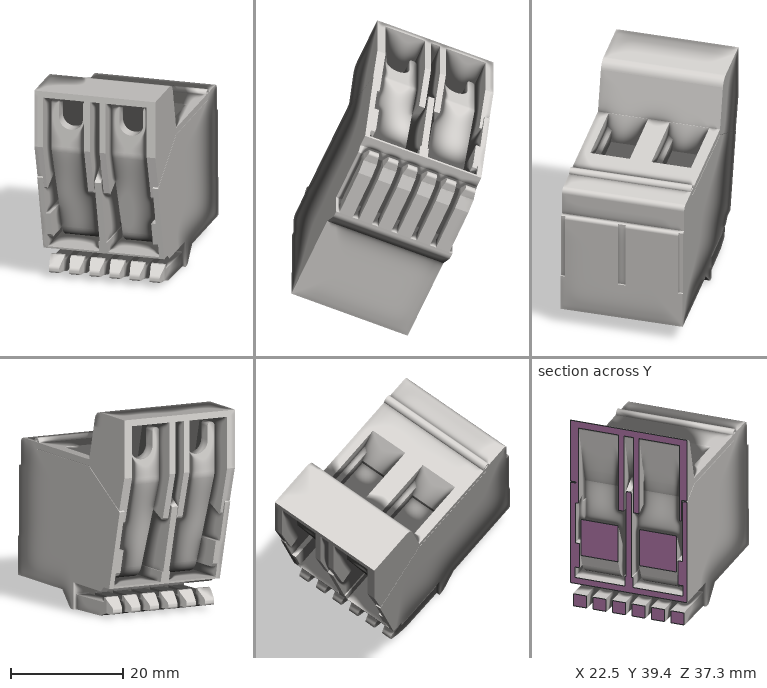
import cadquery as cq
import math


PICK_REACH = 0.05

WIDTH = 22.5
DEPTH = 39.4
HEIGHT = 37.3
HALF_WIDTH = WIDTH / 2

LEAN = math.tan(math.radians(15))
DECK_Z = 28.17
COVER_BACK_Y = 13
COVER_EDGE_R = 1.97
COVER_LEAN = math.tan(math.radians(17))
FACE_BEND_Z = 26.75
LIP_Z = 5.85
LIP_BACK_Y = 7.7
LEDGE_Y = 8.7
LEDGE_Z = 4.92
FOOT_FRONT_Y = 18.87
FOOT_BACK_Y = 20.0
FOOT_R = 1.38
BASE_Z = 3.05
BASE_FRONT_Y = 23.0
REAR_STEP_Y = 38.35
REAR_STEP_Z = 23.05
REAR_TOP_R = 0.9
REAR_STEP_R = 0.55

PART_Z = 26.95
PART_END_Y = 32.35
PART_SLOPE = math.tan(math.radians(30))
PART_GAP = 0.1
PART_GAP_DEPTH = 1.02

CUT_Y = -0.4
COVER_WALL = 1.2
CEILING_Z = HEIGHT - COVER_WALL
CEILING_R = 0.95
COVER_BAY_OUT = 9.65
COVER_BAY_IN = 2.0
SLOT_HALF = 0.85
BODY_BAY_OUT = 9.38
RIB_HALF = 0.6
RIB_TOP_HALF = 0.47
RIB_TOP_Z = 24.7
BAY_FLOOR_Z = 6.2
BAY_BACK_Z = 24.0
LAP_OUT = HALF_WIDTH - PART_GAP_DEPTH
LAP_BACK_Y = 11.82
LAP_BACK_Z = 20.5
LAP_GAP = 0.05
LAP_Z = 13.05
FLOOR_BAY_OUT = 10.32
FLOOR_BAY_IN = 0.83
FLOOR_BAY_Z = 8.15
FLOOR_BAY_FRONT_Z = 8.75
BACK_STEP_Z = 10.68
BACK_STEP = 1.2
STOP_Z = 9.38
STOP_WIDTH = 1.2
STOP_REACH = 0.8

TONGUE_TIP_Z = 18.05
TONGUE_FACE_Z = 18.35
TONGUE_SLOPE = math.tan(math.radians(23))

LEVER_IN = COVER_BAY_IN
LEVER_WIDTH = 7.2
LEVER_Y = 3.9
LEVER_TOP_Z = 34.7
LEVER_BEND_Z = 25.18
LEVER_BEND_R = 2.75
LEVER_LEAN = math.radians(21.5)
LEVER_THICK = 2.35
LEVER_END_R = 3.5
PRONG_WIDTH = 1.38
PRONG_TIP_R = 0.67
NOTCH_Z = 29.15

WINDOW_WIDTH = 7.3
WINDOW_THROAT = 5.65
WINDOW_X = 5.65
WINDOW_BACK_Y = 25.95
WINDOW_FLOOR_Y = 21.83
WINDOW_SLOPE_Z = 23.88
WINDOW_FLOOR_Z = 23.0
WINDOW_LEDGE = 0.08
THROAT_TOP_Z = 25.75
THROAT_Z = 25.1

HINGE_Y = 32.5
HINGE_R = 0.83
HINGE_HOLE_R = 0.5

GROOVE_DEPTH = 0.3
GROOVE_BOTTOM_Z = 10.15
GROOVE_EDGE = 0.83
GROOVE_MIDDLE = 1.4

FINGER_COUNT = 6
FINGER_PITCH = 3.75
FINGER_WIDTH = 2.55
FINGER_TIP_WIDTH = 1.85
FINGER_TIP_Y = 5.9
FINGER_TIP_BOTTOM_R = 0.5
FINGER_TIP_TOP_R = 0.75
FINGER_TIP_TOP_Z = 2.15
FINGER_TIP_BOTTOM_Z = 1.02
FINGER_TAPER_Y = 7.72
FINGER_BEND_Y = 10.1
FINGER_BEND_Z = 0.28
FINGER_TOP_Z = 2.9
FINGER_ROOT_Z = 2.68
FINGER_ROOT_CHAMFER = 0.2
HOOK_FRONT_Y = 8.2
HOOK_Z = 3.85

BAY_BACK_Y = COVER_BACK_Y - COVER_WALL + (DECK_Z - BAY_BACK_Z) * LEAN


def face_y(z, lean=LEAN):
    """Y of the leaning front face at height z."""
    return (FACE_BEND_Z - z) * lean


def part_z(y):
    """Height of the sloping parting line at depth y."""
    return PART_Z - (COVER_BACK_Y - y) * PART_SLOPE


def part_front(lean):
    """Point where the parting line meets a front face with this lean."""
    y = (FACE_BEND_Z - part_z(0)) * lean / (1 + PART_SLOPE * lean)
    return (y, part_z(y))


def cover_back_y(z, wall=0):
    """Y of the leaning back of the cover at height z, moved inward by wall."""
    return COVER_BACK_Y - (z - DECK_Z) * LEAN - wall / math.cos(math.atan(LEAN))


def prism(points, x0, x1):
    """Extrude a Y-Z outline from x0 to x1."""
    return cq.Workplane("YZ", origin=(x0, 0, 0)).polyline(points).close().extrude(x1 - x0)


JOINT_Y = (
    cover_back_y(PART_Z, COVER_WALL) + COVER_BACK_Y * PART_SLOPE * LEAN
) / (1 + PART_SLOPE * LEAN)
JOINT_Z = part_z(JOINT_Y)


def both_sides(solid):
    """The solid together with its mirror image across the middle plane."""
    return solid.union(solid.mirror("YZ"))


def round_edge(solid, y, z, radius):
    """Round the X-direction edge that passes through (y, z)."""
    box = cq.selectors.BoxSelector(
        (-WIDTH, y - PICK_REACH, z - PICK_REACH), (WIDTH, y + PICK_REACH, z + PICK_REACH)
    )
    return solid.edges("|X").edges(box).fillet(radius)


def make_block():
    """Solid block with the full side outline."""
    cover_top_y = cover_back_y(HEIGHT)
    outline = [
        (0, HEIGHT),
        (0, FACE_BEND_Z),
        part_front(COVER_LEAN),
        part_front(LEAN),
        (face_y(LIP_Z), LIP_Z),
        (LIP_BACK_Y, LIP_Z),
        (LEDGE_Y, LEDGE_Z),
        (FOOT_FRONT_Y, LEDGE_Z),
        (FOOT_FRONT_Y, 0),
        (FOOT_BACK_Y, 0),
        (BASE_FRONT_Y, BASE_Z),
        (DEPTH, BASE_Z),
        (DEPTH, REAR_STEP_Z),
        (REAR_STEP_Y, REAR_STEP_Z),
        (REAR_STEP_Y, DECK_Z),
        (COVER_BACK_Y, DECK_Z),
        (cover_top_y, HEIGHT),
    ]
    block = prism(outline, -HALF_WIDTH, HALF_WIDTH)
    block = round_edge(block, cover_top_y, HEIGHT, COVER_EDGE_R)
    block = round_edge(block, FOOT_BACK_Y, 0, FOOT_R)
    block = round_edge(block, REAR_STEP_Y, DECK_Z, REAR_TOP_R)
    return round_edge(block, DEPTH, REAR_STEP_Z, REAR_STEP_R)


def cover_cavity(x0, x1):
    """Hollow of the cover between x0 and x1, down to the parting line."""
    ceiling_y = cover_back_y(CEILING_Z, COVER_WALL)
    outline = [
        (CUT_Y, CEILING_Z),
        (ceiling_y, CEILING_Z),
        (JOINT_Y, JOINT_Z),
        (CUT_Y, part_z(CUT_Y)),
    ]
    cavity = prism(outline, x0, x1)
    return round_edge(cavity, ceiling_y, CEILING_Z, CEILING_R)


def body_cavity(x0, x1, floor_z):
    """Hollow of the body between x0 and x1, from floor_z up to the parting line."""
    outline = [
        (CUT_Y, floor_z),
        (BAY_BACK_Y, floor_z),
        (BAY_BACK_Y, BAY_BACK_Z),
        (JOINT_Y, JOINT_Z),
        (CUT_Y, part_z(CUT_Y)),
    ]
    return prism(outline, x0, x1)


def rib_side():
    """Sliver taken off one side of the rib where it is thinner."""
    outline = [
        (COVER_BACK_Y - (PART_Z - RIB_TOP_Z) / PART_SLOPE, RIB_TOP_Z),
        (cover_back_y(RIB_TOP_Z, COVER_WALL), RIB_TOP_Z),
        (JOINT_Y, JOINT_Z),
    ]
    return prism(outline, RIB_TOP_HALF, RIB_HALF)


def lap_recess():
    """Recess in the side wall of one bay that takes the cover tongue."""
    outline = [
        (CUT_Y, LAP_Z),
        (LAP_BACK_Y, LAP_Z),
        (LAP_BACK_Y, part_z(LAP_BACK_Y)),
        (CUT_Y, part_z(CUT_Y)),
    ]
    return prism(outline, BODY_BAY_OUT, LAP_OUT)


def floor_cavity():
    """Wider foot of one body bay; its ceiling rises toward the front."""
    rise = FLOOR_BAY_FRONT_Z - FLOOR_BAY_Z
    front_y = face_y(FLOOR_BAY_FRONT_Z)
    back_y = BAY_BACK_Y + BACK_STEP
    widened = [
        (CUT_Y, BAY_FLOOR_Z),
        (back_y, BAY_FLOOR_Z),
        (back_y, FLOOR_BAY_Z),
        (front_y + rise, FLOOR_BAY_Z),
        (front_y, FLOOR_BAY_FRONT_Z),
        (CUT_Y, FLOOR_BAY_FRONT_Z),
    ]
    outer = prism(widened, LEVER_IN, FLOOR_BAY_OUT)
    inner = cq.Workplane("XY").box(
        LEVER_IN - FLOOR_BAY_IN, back_y - CUT_Y, FLOOR_BAY_Z - BAY_FLOOR_Z, centered=False
    )
    inner = inner.translate((FLOOR_BAY_IN, CUT_Y, BAY_FLOOR_Z))
    return outer.union(inner)


def back_step():
    """Deeper stretch of one bay at the foot of its back wall."""
    outline = [
        (face_y(FLOOR_BAY_Z), FLOOR_BAY_Z),
        (BAY_BACK_Y + BACK_STEP, FLOOR_BAY_Z),
        (BAY_BACK_Y + BACK_STEP, BACK_STEP_Z),
        (face_y(BACK_STEP_Z), BACK_STEP_Z),
    ]
    return prism(outline, RIB_HALF, BODY_BAY_OUT)


def stop():
    """Small stop on the back wall beside the rib, with a sloping underside."""
    wall_y = BAY_BACK_Y + BACK_STEP
    outline = [
        (wall_y, FLOOR_BAY_Z),
        (wall_y, STOP_Z),
        (wall_y - STOP_REACH, STOP_Z),
    ]
    return prism(outline, RIB_HALF, RIB_HALF + STOP_WIDTH)


def tongue(x0, x1):
    """Cover wall carried on below the parting line, with a rising lower edge."""
    face_end_y = face_y(TONGUE_FACE_Z, COVER_LEAN)
    tip_y = face_end_y + TONGUE_FACE_Z - TONGUE_TIP_Z
    outline = [
        part_front(COVER_LEAN),
        (face_end_y, TONGUE_FACE_Z),
        (tip_y, TONGUE_TIP_Z),
        (LAP_BACK_Y, TONGUE_TIP_Z + (LAP_BACK_Y - tip_y) * TONGUE_SLOPE),
        (LAP_BACK_Y, part_z(LAP_BACK_Y)),
    ]
    return prism(outline, x0, x1)


def lever():
    """Lever on the +X side: upright plate with a notched top and a leaning tail."""
    run = math.tan(LEVER_LEAN)
    tail_y = LEVER_Y + (LEVER_BEND_Z - BAY_FLOOR_Z) * run
    back_y = LEVER_Y + LEVER_THICK
    tail_back_y = BAY_BACK_Y + BACK_STEP
    outline = [
        (LEVER_Y, LEVER_TOP_Z),
        (LEVER_Y, LEVER_BEND_Z),
        (tail_y, BAY_FLOOR_Z),
        (tail_back_y, BAY_FLOOR_Z),
        (tail_back_y, FLOOR_BAY_Z),
        (back_y, LEVER_BEND_Z),
        (back_y, LEVER_TOP_Z),
    ]
    plate = prism(outline, LEVER_IN, LEVER_IN + LEVER_WIDTH)
    plate = round_edge(plate, LEVER_Y, LEVER_BEND_Z, LEVER_BEND_R)
    plate = round_edge(plate, tail_y, BAY_FLOOR_Z, LEVER_END_R)
    notch_width = LEVER_WIDTH - 2 * PRONG_WIDTH
    notch_r = notch_width / 2
    middle_x = LEVER_IN + LEVER_WIDTH / 2
    notch = (
        cq.Workplane("XZ", origin=(middle_x, 0, NOTCH_Z + notch_r))
        .moveTo(-notch_r, 0)
        .threePointArc((0, -notch_r), (notch_r, 0))
        .lineTo(notch_r, LEVER_TOP_Z)
        .lineTo(-notch_r, LEVER_TOP_Z)
        .close()
        .extrude(-DEPTH)
    )
    plate = plate.cut(notch)
    return plate.edges("|Y and >Z").fillet(PRONG_TIP_R)


def window():
    """Wire window on the +X side: leaning ends and a narrower throat."""
    ends = [
        (COVER_BACK_Y + WINDOW_LEDGE, DECK_Z),
        (WINDOW_BACK_Y, DECK_Z),
        (WINDOW_FLOOR_Y, WINDOW_SLOPE_Z),
        (WINDOW_FLOOR_Y, WINDOW_FLOOR_Z),
        (cover_back_y(WINDOW_FLOOR_Z) + WINDOW_LEDGE, WINDOW_FLOOR_Z),
    ]
    long_cut = prism(ends, WINDOW_X - WINDOW_WIDTH / 2, WINDOW_X + WINDOW_WIDTH / 2)
    half = WINDOW_WIDTH / 2
    throat = WINDOW_THROAT / 2
    sides = [
        (-half, DECK_Z),
        (-half, THROAT_TOP_Z),
        (-throat, THROAT_Z),
        (-throat, WINDOW_FLOOR_Z),
        (throat, WINDOW_FLOOR_Z),
        (throat, THROAT_Z),
        (half, THROAT_TOP_Z),
        (half, DECK_Z),
    ]
    cross_cut = (
        cq.Workplane("XZ", origin=(WINDOW_X, 0, 0)).polyline(sides).close().extrude(-DEPTH)
    )
    return long_cut.intersect(cross_cut)


def parting_gap():
    """Narrow gap in the +X side between cover and body."""
    half = PART_GAP / 2
    outline = [
        (PART_END_Y, PART_Z + half),
        (COVER_BACK_Y, PART_Z + half),
        (0, part_z(0) + half),
        (0, part_z(0) - half),
        (COVER_BACK_Y, PART_Z - half),
        (PART_END_Y, PART_Z - half),
    ]
    return prism(outline, HALF_WIDTH - PART_GAP_DEPTH, HALF_WIDTH)


def hinge():
    """Half tube lying on the deck across the full width."""
    end_face = cq.Workplane("YZ", origin=(-HALF_WIDTH, HINGE_Y, DECK_Z))
    ring = end_face.circle(HINGE_R).circle(HINGE_HOLE_R).extrude(WIDTH)
    above = cq.Workplane("XY", origin=(0, HINGE_Y, DECK_Z)).box(
        WIDTH, 2 * HINGE_R, HINGE_R, centered=(True, True, False)
    )
    return ring.intersect(above)


def rear_groove(x, width):
    """Upright groove in the rear face, open at the step."""
    height = REAR_STEP_Z - GROOVE_BOTTOM_Z
    groove = cq.Workplane("XY").box(width, GROOVE_DEPTH, height, centered=(True, False, False))
    return groove.translate((x, DEPTH - GROOVE_DEPTH, GROOVE_BOTTOM_Z))


def finger():
    """Clip finger on the middle plane with a hook and a tapered tip."""
    outline = [
        (FOOT_FRONT_Y, 0),
        (FINGER_BEND_Y, FINGER_BEND_Z),
        (FINGER_TAPER_Y, FINGER_TIP_BOTTOM_Z),
        (FINGER_TIP_Y, FINGER_TIP_BOTTOM_Z),
        (FINGER_TIP_Y, FINGER_TIP_TOP_Z),
        (HOOK_FRONT_Y, HOOK_Z),
        (LEDGE_Y, HOOK_Z),
        (LEDGE_Y, FINGER_TOP_Z),
        (FOOT_FRONT_Y - FINGER_ROOT_CHAMFER, FINGER_ROOT_Z),
        (FOOT_FRONT_Y, FINGER_ROOT_Z + FINGER_ROOT_CHAMFER),
    ]
    bar = prism(outline, -FINGER_WIDTH / 2, FINGER_WIDTH / 2)
    bar = round_edge(bar, FINGER_TIP_Y, FINGER_TIP_BOTTOM_Z, FINGER_TIP_BOTTOM_R)
    bar = round_edge(bar, FINGER_TIP_Y, FINGER_TIP_TOP_Z, FINGER_TIP_TOP_R)
    plan = [
        (-FINGER_WIDTH / 2, FOOT_FRONT_Y),
        (-FINGER_WIDTH / 2, FINGER_TAPER_Y),
        (-FINGER_TIP_WIDTH / 2, FINGER_TIP_Y),
        (FINGER_TIP_WIDTH / 2, FINGER_TIP_Y),
        (FINGER_WIDTH / 2, FINGER_TAPER_Y),
        (FINGER_WIDTH / 2, FOOT_FRONT_Y),
    ]
    return bar.intersect(cq.Workplane("XY").polyline(plan).close().extrude(LEDGE_Z))


result = make_block()

result = result.cut(both_sides(cover_cavity(COVER_BAY_IN, COVER_BAY_OUT)))
result = result.cut(cover_cavity(-SLOT_HALF, SLOT_HALF))
result = result.cut(both_sides(body_cavity(RIB_HALF, BODY_BAY_OUT, FLOOR_BAY_Z)))
result = result.cut(both_sides(lap_recess()))
result = result.cut(both_sides(body_cavity(BODY_BAY_OUT, COVER_BAY_OUT, LAP_BACK_Z)))
result = result.cut(both_sides(rib_side()))
result = result.cut(both_sides(floor_cavity()))
result = result.cut(both_sides(back_step()))
result = result.union(both_sides(stop()))

result = result.union(both_sides(tongue(COVER_BAY_OUT, LAP_OUT - LAP_GAP)))
result = result.union(both_sides(tongue(SLOT_HALF, COVER_BAY_IN)))
result = result.union(both_sides(lever()))

result = result.cut(both_sides(window()))
result = result.cut(both_sides(parting_gap()))
result = result.union(hinge())
result = result.cut(both_sides(rear_groove(HALF_WIDTH - GROOVE_EDGE / 2, GROOVE_EDGE)))
result = result.cut(rear_groove(0, GROOVE_MIDDLE))

for index in range(FINGER_COUNT):
    finger_x = (index - (FINGER_COUNT - 1) / 2) * FINGER_PITCH
    result = result.union(finger().translate((finger_x, 0, 0)))